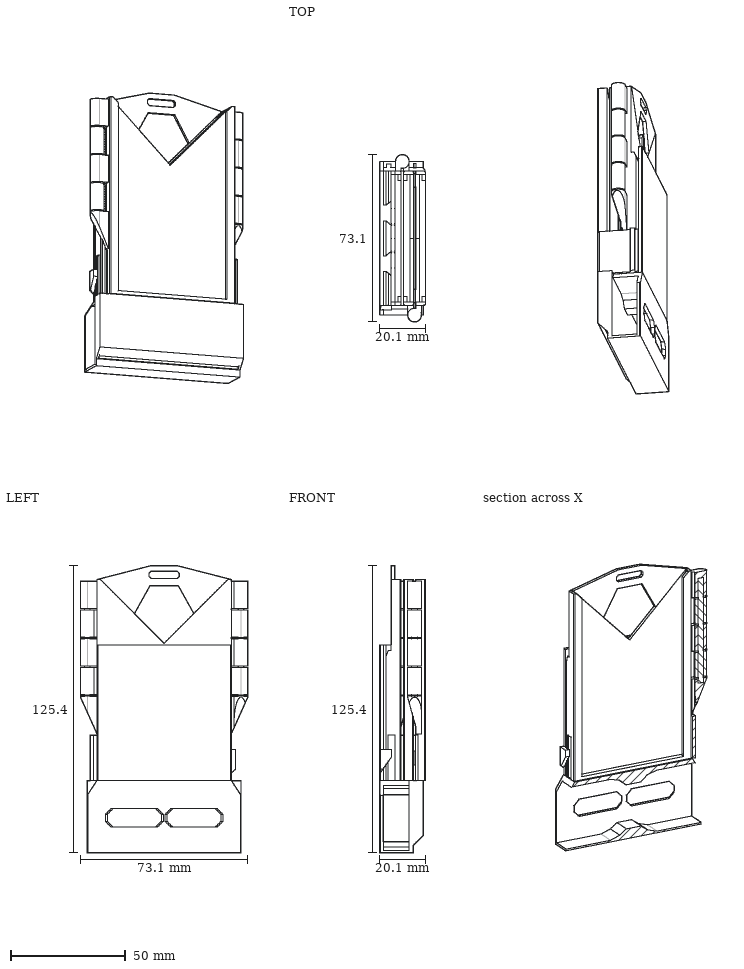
import cadquery as cq

TOTAL_HEIGHT = 125.4
TOTAL_WIDTH = 73.1
BOX_TOP = 31.6
COVER_TOP = 90.8
RAIL_TOP = 88.4
FRAME_TOP = 119.4
FRAME_HALF_WIDTH = 29.3
BOX_HALF_WIDTH = 33.6

FRAME_DEPTH = 4.4
FRAME_STARTS = (5.0, 10.4, 15.7)
PLATE_THICKNESS = 1.6
WALL = 1.5
LIP_WIDTH = 2.5
LIP_THICKNESS = 1.5
FRAME_CHAMFER = 0.5
NOTCH_HALF_WIDTH = FRAME_HALF_WIDTH - WALL
NOTCH_BOTTOM = FRAME_TOP - NOTCH_HALF_WIDTH

BARREL_DIAMETER = 6.0
BARREL_RADIUS = BARREL_DIAMETER / 2
HINGE_Y = TOTAL_WIDTH / 2 - BARREL_RADIUS
HINGE_TOP = 118.6
KNUCKLE_PITCH = 12.5
KNUCKLE_GAP = 0.5
KNUCKLE_COUNT = 5
HINGE_FOOT = 51.9
TAPER_TOP = 68.0
WEB_TAPER_FOOT = 55.2
PIN_DIAMETER = 2.5
PIN_BOTTOM = 66.5
PIN_TOP = 115.4

DISC_LENGTH = 0.8
DISC_Y = 25.2
DISC_Z = 41.4

COVER_THICKNESS = 1.6
FRONT_CHAMFER = 0.4
RAIL_FRONT = 2.8
TENON_FRONT_HALF = 7.6
TENON_BACK_HALF = 5.6
SIDE_RAIL_FRONT = 14.4
SIDE_RAIL_BACK = 16.3
RAIL_BEVEL_X = 3.8
RAIL_BEVEL_HEIGHT = 2.5

LATCH_X = (0.4, 5.3)
LATCH_TOP = 45.1
LATCH_HEEL = 42.0
LATCH_FOOT = 35.1
LATCH_PROUD = 1.9
LATCH_BEVEL = 1.5
RECESS_X = (3.6, 6.6)
REAR_RECESS_WIDTH = 1.0
RECESS_DEPTH = 0.6
CLIP_TOP = 51.4

CLIP_X = (1.6, 19.8)
CLIP_THICKNESS = 1.5
TONGUE_X = (2.9, 4.9)
TONGUE_PROUD = 3.0
CLIP_CHAMFER = 1.0

HANDLE_TOP_HALF = 5.9
WINDOW_TOP = 116.6
WINDOW_TOP_HALF = 6.1
WINDOW_SIDE_HALF = 12.9
GRIP_HALF_WIDTH = 6.5
GRIP_HEIGHT = 3.1
GRIP_Z = 121.4
GRIP_CHAMFER = 0.9

BOX_WALL = 1.6
CAVITY_BACK = 12.8
BOX_FOOT_X = 14.7
BOX_FOOT_Z = 3.1
BOX_BACK = 19.0
BOX_BEVEL_Z = BOX_FOOT_Z + BOX_BACK - BOX_FOOT_X
WAIST_STEPS = (3.6, 6.9, 11.5)
FLOOR_LEVELS = (4.9, 2.5, 1.0)
CEILING_LEVELS = (25.3, 28.1, 29.3)
CORNER_CUT_Z = 25.1
SLOT_X = (14.9, 15.8)
SLOT_HALF_WIDTH = 32.6
OVAL_LENGTH = 25.3
OVAL_INNER_LENGTH = 23.6
OVAL_HEIGHT = 8.0
OVAL_Y = 13.0
OVAL_Z = 15.3
OVAL_CHAMFER = 2.5


def block(x, y, z):
    """Box between the given (low, high) pairs."""
    corner = (x[0], y[0], z[0])
    return cq.Workplane("XY").box(x[1] - x[0], y[1] - y[0], z[1] - z[0], centered=False).translate(corner)


def slab(points, x):
    """YZ outline extruded between two X positions."""
    return cq.Workplane("YZ").workplane(offset=x[0]).polyline(points).close().extrude(x[1] - x[0])


def prism(points, y):
    """XZ outline extruded between two Y positions."""
    return cq.Workplane("XZ").workplane(offset=-y[1]).polyline(points).close().extrude(y[1] - y[0])


def column(points, z):
    """XY outline extruded between two Z positions."""
    return cq.Workplane("XY").workplane(offset=z[0]).polyline(points).close().extrude(z[1] - z[0])


def mirrored(points):
    """Outline points followed by their mirror image across the first coordinate."""
    return points + [(-y, z) for y, z in reversed(points)]


def tray(start, plate_in_front, chamfered_sides):
    """Tray frame with a V-notched plate on one side and retaining lips on the other."""
    end = start + FRAME_DEPTH
    plate_back = start + PLATE_THICKNESS if plate_in_front else end
    plate_front = plate_back - PLATE_THICKNESS
    pocket = (plate_back, end) if plate_in_front else (start, plate_front)
    lip_front = end - LIP_THICKNESS if plate_in_front else start
    height = (BOX_TOP, FRAME_TOP)
    body = block((start, end), (-FRAME_HALF_WIDTH, FRAME_HALF_WIDTH), height)
    body = body.edges(f"|Z and {chamfered_sides}").chamfer(FRAME_CHAMFER)
    inside = (-NOTCH_HALF_WIDTH, NOTCH_HALF_WIDTH)
    body = body.cut(block(pocket, inside, (BOX_TOP + WALL, FRAME_TOP)))
    for edge in (-NOTCH_HALF_WIDTH, NOTCH_HALF_WIDTH - LIP_WIDTH):
        body = body.union(block((lip_front, lip_front + LIP_THICKNESS), (edge, edge + LIP_WIDTH), height))
    notch = [(-NOTCH_HALF_WIDTH, FRAME_TOP), (0, NOTCH_BOTTOM), (NOTCH_HALF_WIDTH, FRAME_TOP)]
    return body.cut(slab(notch, (start, end)))


def hinge_axis(front_frame):
    """X position halfway between a frame and the one behind it."""
    return (FRAME_STARTS[front_frame] + FRAME_DEPTH + FRAME_STARTS[front_frame + 1]) / 2


def knuckles(front_frame, side, on_front):
    """Every second knuckle of one hinge, with webs reaching the frame's side wall.

    The knuckles belong to the front one of the hinge's two frames if on_front is true.
    """
    axis_x = hinge_axis(front_frame)
    axis_y = side * HINGE_Y
    inner = FRAME_STARTS[front_frame] + FRAME_DEPTH if on_front else FRAME_STARTS[front_frame + 1]
    outer = axis_x - BARREL_RADIUS if on_front else axis_x + BARREL_RADIUS
    web_x = sorted((inner, outer))
    web_y = sorted((side * FRAME_HALF_WIDTH, axis_y))
    carries_top = on_front == (side > 0)
    knuckle_set = cq.Workplane("XY")
    for index in range(0 if carries_top else 1, KNUCKLE_COUNT, 2):
        top = HINGE_TOP - index * KNUCKLE_PITCH
        last = index == KNUCKLE_COUNT - 1
        bottom = HINGE_FOOT if last else top - KNUCKLE_PITCH + KNUCKLE_GAP
        barrel = cq.Workplane("XY").workplane(offset=bottom).center(axis_x, axis_y)
        knuckle = barrel.circle(BARREL_RADIUS).extrude(top - bottom)
        knuckle = knuckle.union(block(web_x, web_y, (bottom, top)))
        if last:
            tip_y = side * (HINGE_Y + BARREL_RADIUS)
            below = [(side * FRAME_HALF_WIDTH, HINGE_FOOT), (tip_y, HINGE_FOOT), (tip_y, TAPER_TOP)]
            reach = (axis_x - BARREL_RADIUS, axis_x + BARREL_RADIUS)
            knuckle = knuckle.cut(slab(below, reach))
            far_x = 2 * axis_x - outer
            lean = [(far_x, TAPER_TOP), (far_x, HINGE_FOOT), (inner, HINGE_FOOT), (inner, WEB_TAPER_FOOT)]
            knuckle = knuckle.cut(prism(lean, sorted((side * FRAME_HALF_WIDTH, tip_y))))
        knuckle_set = knuckle_set.add(knuckle)
    bore = hinge_pin(front_frame, side)
    return knuckle_set.combine().cut(bore)


def hinge_pin(front_frame, side):
    """Pin enclosed in the knuckles of one hinge."""
    base = cq.Workplane("XY").workplane(offset=PIN_BOTTOM)
    axis = base.center(hinge_axis(front_frame), side * HINGE_Y)
    return axis.circle(PIN_DIAMETER / 2).extrude(PIN_TOP - PIN_BOTTOM)


def dovetail_strips():
    """Centre tenon and two undercut side rails that guide the cover."""
    back = FRAME_STARTS[0]
    height = (BOX_TOP, RAIL_TOP)
    tenon = [
        (RAIL_FRONT, -TENON_FRONT_HALF),
        (back, -TENON_BACK_HALF),
        (back, TENON_BACK_HALF),
        (RAIL_FRONT, TENON_FRONT_HALF),
    ]
    strips = column(tenon, height)
    rail = [
        (RAIL_FRONT, SIDE_RAIL_FRONT),
        (back, SIDE_RAIL_BACK),
        (back, FRAME_HALF_WIDTH),
        (RAIL_FRONT, FRAME_HALF_WIDTH),
    ]
    bevel = [(RAIL_FRONT, RAIL_TOP - RAIL_BEVEL_HEIGHT), (RAIL_BEVEL_X, RAIL_TOP), (RAIL_FRONT, RAIL_TOP)]
    for side in (-1, 1):
        side_rail = column([(x, side * y) for x, y in rail], height)
        rail_y = sorted((side * SIDE_RAIL_FRONT, side * FRAME_HALF_WIDTH))
        strips = strips.add(side_rail.cut(prism(bevel, rail_y)))
    return strips.combine()


def side_recess(x):
    """Shallow cutter for the lower part of a frame's -Y side wall."""
    return block(x, (-FRAME_HALF_WIDTH, -FRAME_HALF_WIDTH + RECESS_DEPTH), (BOX_TOP, CLIP_TOP))


def front_tray_frame():
    body = tray(FRAME_STARTS[0], plate_in_front=True, chamfered_sides=">X")
    body = body.union(dovetail_strips()).union(knuckles(0, 1, on_front=True))
    return body.cut(side_recess(RECESS_X))


def middle_tray_frame():
    body = tray(FRAME_STARTS[1], plate_in_front=False, chamfered_sides="(<X or >X)")
    body = body.union(knuckles(0, 1, on_front=False))
    return body.union(knuckles(1, -1, on_front=True))


def rear_tray_frame():
    body = tray(FRAME_STARTS[2], plate_in_front=True, chamfered_sides=">X")
    body = body.union(knuckles(1, -1, on_front=False))
    for y in (-DISC_Y, DISC_Y):
        disc = cq.Workplane("YZ").workplane(offset=FRAME_STARTS[2] - DISC_LENGTH)
        body = body.union(disc.center(y, DISC_Z).circle(BARREL_RADIUS).extrude(DISC_LENGTH))
    recess_x = (FRAME_STARTS[2], FRAME_STARTS[2] + REAR_RECESS_WIDTH)
    return body.cut(side_recess(recess_x))


def handle_plate():
    """Carrying plate that fills the front frame's notch around an open window."""
    outline = mirrored([
        (HANDLE_TOP_HALF, TOTAL_HEIGHT),
        (FRAME_HALF_WIDTH, FRAME_TOP),
        (NOTCH_HALF_WIDTH, FRAME_TOP),
        (WINDOW_SIDE_HALF, NOTCH_BOTTOM + WINDOW_SIDE_HALF),
        (WINDOW_TOP_HALF, WINDOW_TOP),
    ])
    start = FRAME_STARTS[0]
    plate = slab(outline, (start, start + PLATE_THICKNESS))
    grip = block(
        (start, start + PLATE_THICKNESS),
        (-GRIP_HALF_WIDTH, GRIP_HALF_WIDTH),
        (GRIP_Z - GRIP_HEIGHT / 2, GRIP_Z + GRIP_HEIGHT / 2),
    )
    return plate.cut(grip.edges("|X").chamfer(GRIP_CHAMFER))


def front_cover():
    """Sliding cover with two dovetail keys and a latch on the -Y edge."""
    height = (BOX_TOP, COVER_TOP)
    cover = block((0, COVER_THICKNESS), (-FRAME_HALF_WIDTH, FRAME_HALF_WIDTH), height)
    cover = cover.edges("|Z and <X").chamfer(FRONT_CHAMFER)
    back = FRAME_STARTS[0]
    key = [
        (COVER_THICKNESS, TENON_FRONT_HALF),
        (RAIL_FRONT, TENON_FRONT_HALF),
        (back, TENON_BACK_HALF),
        (back, SIDE_RAIL_BACK),
        (RAIL_FRONT, SIDE_RAIL_FRONT),
        (COVER_THICKNESS, SIDE_RAIL_FRONT),
    ]
    for side in (-1, 1):
        cover = cover.union(column([(x, side * y) for x, y in key], height))
    latch = [
        (LATCH_X[0], LATCH_TOP),
        (LATCH_X[1], LATCH_TOP),
        (LATCH_X[1], LATCH_HEEL),
        (LATCH_X[0], LATCH_FOOT),
    ]
    tip_y = -FRAME_HALF_WIDTH - LATCH_PROUD
    bevel = [
        (tip_y, LATCH_FOOT),
        (tip_y, LATCH_FOOT + LATCH_BEVEL),
        (tip_y + LATCH_BEVEL, LATCH_FOOT),
    ]
    latch_hook = prism(latch, (tip_y, -FRAME_HALF_WIDTH)).cut(slab(bevel, LATCH_X))
    return cover.union(latch_hook)


def locking_clip():
    """Strip along the +Y side walls with a tongue near its front end."""
    height = (BOX_TOP, CLIP_TOP)
    strip = block(CLIP_X, (FRAME_HALF_WIDTH, FRAME_HALF_WIDTH + CLIP_THICKNESS), height)
    strip = strip.edges("|Z and >X and >Y").chamfer(CLIP_CHAMFER)
    return strip.union(block(TONGUE_X, (FRAME_HALF_WIDTH, FRAME_HALF_WIDTH + TONGUE_PROUD), height))


def passage():
    """Cutter along Y through the box, narrowed by a waist in its floor and ceiling."""
    floor_right = [(BOX_HALF_WIDTH, FLOOR_LEVELS[-1])]
    floor_right += zip(reversed(WAIST_STEPS), reversed(FLOOR_LEVELS))
    ceiling_left = [(-y, z) for y, z in zip(WAIST_STEPS, CEILING_LEVELS)]
    ceiling_left = [(-BOX_HALF_WIDTH, CEILING_LEVELS[-1])] + ceiling_left[::-1]
    outline = mirrored(floor_right) + mirrored(ceiling_left)
    return slab(outline, (BOX_WALL, CAVITY_BACK))


def octagon(length):
    """Points of a window outline centred on the origin."""
    y = length / 2
    z = OVAL_HEIGHT / 2
    right_half = [(y - OVAL_CHAMFER, z), (y, z - OVAL_CHAMFER), (y, OVAL_CHAMFER - z), (y - OVAL_CHAMFER, -z)]
    return mirrored(right_half)


def oval_window(y):
    """Octagonal cutter through the front wall, with ends that narrow inwards."""
    outer = cq.Workplane("YZ", origin=(0, y, OVAL_Z)).polyline(octagon(OVAL_LENGTH)).close()
    inner = outer.workplane(offset=BOX_WALL).polyline(octagon(OVAL_INNER_LENGTH)).close()
    return inner.loft(ruled=True)


def bottom_box():
    """Open-ended box with a bevelled back wall that carries the stack."""
    outline = [
        (0, 0),
        (BOX_FOOT_X, 0),
        (BOX_FOOT_X, BOX_FOOT_Z),
        (BOX_BACK, BOX_BEVEL_Z),
        (BOX_BACK, BOX_TOP),
        (0, BOX_TOP),
    ]
    body = prism(outline, (-BOX_HALF_WIDTH, BOX_HALF_WIDTH))
    body = body.edges("|Z and <X").chamfer(FRONT_CHAMFER)
    body = body.cut(passage())
    for side in (-1, 1):
        corner = [
            (side * FRAME_HALF_WIDTH, BOX_TOP),
            (side * BOX_HALF_WIDTH, BOX_TOP),
            (side * BOX_HALF_WIDTH, CORNER_CUT_Z),
        ]
        body = body.cut(slab(corner, (0, CAVITY_BACK)))
    for y in (-OVAL_Y, OVAL_Y):
        body = body.cut(oval_window(y))
    return body.cut(block(SLOT_X, (-SLOT_HALF_WIDTH, SLOT_HALF_WIDTH), (0, BOX_TOP)))


box = bottom_box()
cover = front_cover()
frame_front = front_tray_frame()
frame_middle = middle_tray_frame()
frame_rear = rear_tray_frame()
handle = handle_plate()
clip = locking_clip()
pins = [hinge_pin(frame, side) for frame, side in ((0, 1), (1, -1))]

result = cq.Compound.makeCompound([
    box.val(),
    cover.val(),
    frame_front.val(),
    frame_middle.val(),
    frame_rear.val(),
    handle.val(),
    clip.val(),
    *[pin.val() for pin in pins],
])